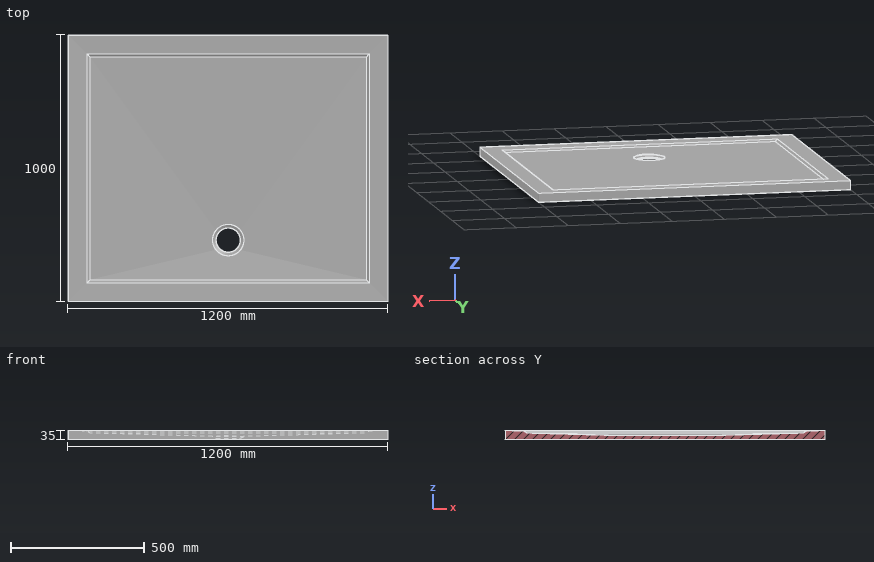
import cadquery as cq

length = 1200.0
width = 1000.0
height = 35.0
corner_round = 4.0

lip_width = 5.0
rim_inset = 71.0
rim_drop = 2.0
floor_inset = 82.0
wall_drop = 7.0

drain_y = -269.0
drain_hole_diameter = 90.0
drain_rim_diameter = 118.0
drain_recess_depth = 6.0
floor_low_y = -295.0
floor_fall = 15.0

rim_z = height - rim_drop
floor_edge_z = rim_z - wall_drop
floor_low_z = floor_edge_z - floor_fall


def rectangle_corners(inset, z):
    """Corners of a level rectangle set in from the tray outline."""
    x = length / 2 - inset
    y = width / 2 - inset
    return [
        cq.Vector(-x, -y, z),
        cq.Vector(x, -y, z),
        cq.Vector(x, y, z),
        cq.Vector(-x, y, z),
    ]


def polygon_face(points):
    return cq.Face.makeFromWires(cq.Wire.makePolygon(points, close=True))


def make_basin():
    """Solid removed above the rim, wall and four sloping floor panels."""
    rings = [
        rectangle_corners(lip_width, height),
        rectangle_corners(rim_inset, rim_z),
        rectangle_corners(floor_inset, floor_edge_z),
    ]
    floor_low = cq.Vector(0, floor_low_y, floor_low_z)
    faces = [polygon_face(rings[0])]
    for side in range(4):
        following = (side + 1) % 4
        for upper, lower in zip(rings, rings[1:]):
            faces.append(polygon_face([upper[side], upper[following], lower[following], lower[side]]))
        faces.append(polygon_face([rings[-1][side], rings[-1][following], floor_low]))
    return cq.Solid.makeSolid(cq.Shell.makeShell(faces))


def make_drain():
    """Through hole with a conical recess opening into the floor."""
    hole_radius = drain_hole_diameter / 2
    rim_radius = drain_rim_diameter / 2
    recess_bottom_z = floor_low_z - drain_recess_depth
    profile = [
        (0, 0),
        (hole_radius, 0),
        (hole_radius, recess_bottom_z),
        (rim_radius, floor_low_z),
        (rim_radius, height),
        (0, height),
    ]
    return (
        cq.Workplane("XZ")
        .polyline(profile)
        .close()
        .revolve(360, (0, 0), (0, 1))
        .translate((0, drain_y, 0))
    )


def make_blank():
    """Tray block with rounded upright corners."""
    block = cq.Workplane("XY").box(length, width, height, centered=(True, True, False))
    return block.edges("|Z").fillet(corner_round)


result = make_blank().cut(make_basin()).cut(make_drain())